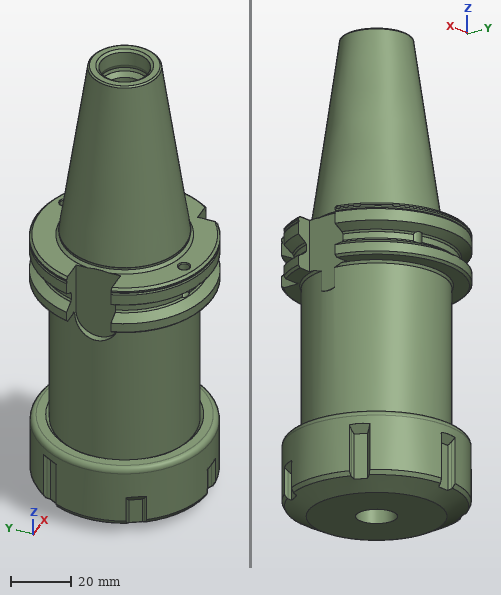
import cadquery as cq
import math

total_length = 168.4

flange_top = 99.7
shank_bottom = 101.5
gauge_height = 100.0
gauge_radius = 22.2
taper_slope = 7 / 48
shank_top_chamfer = 0.5
neck_radius = 21.9
neck_flare_radius = 22.9
neck_flare_height = 1.0

flange_diameter = 63.5
flange_radius = flange_diameter / 2
flange_bottom = 81.5
flange_edge = 0.8
rim_groove_top = 98.3
rim_groove_width = 1.0
rim_groove_depth = 0.3
groove_radius = 27.8
groove_top = 93.3
groove_bottom = 85.7
groove_flank_angle = 30
groove_corner_width = 0.5
groove_corner_height = 0.7

drive_slot_width = 16.0
drive_slot_end = 73.0
deep_slot_floor = 22.5
shallow_slot_floor = 25.0
notch_offset = 18.5

screw_hole_radius = 1.9
screw_hole_circle = 27.0
screw_hole_depth = 11.5
screw_hole_mouth = 0.3
screw_hole_tip_depth = 1.3
screw_hole_angle = 70

body_radius = 25.1
body_flare_width = 0.5
body_flare_height = 1.0

nut_radius = 31.5
nut_height = 26.5
nut_top_fillet = 2.0
nut_face_radius = 23.4
nut_face_angle = 27
nut_cone_radius = 30.6
nut_bevel_top = 5.2
nut_mouth_radius = 26.3

spanner_slot_count = 6
slot_floor_distance = 29.1
slot_wall_distance = 30.1
slot_mouth_distance = 31.8
slot_floor_width = 4.5
slot_wall_width = 5.9
slot_mouth_width = 7.4
short_slot_floor_top = 12.1
short_slot_mouth_top = 15.3
tall_slot_rise = 6.7

bore_diameter = 14.0
bore_radius = bore_diameter / 2
counterbore_radius = 8.6
counterbore_depth = 8.3
counterbore_cone_depth = 1.5
relief_width = 2.4
relief_depth = 0.3
bore_mouth_radius = 9.6
bore_mouth_depth = 0.7


def taper_radius(z):
    """Radius of the shank cone at height z."""
    return gauge_radius - (z - gauge_height) * taper_slope


def revolve_profile(points):
    return cq.Workplane("XZ").polyline(points).close().revolve(360, (0, 0, 0), (0, 1, 0))


def make_shank():
    top_radius = taper_radius(total_length)
    chamfer_start = total_length - shank_top_chamfer
    return revolve_profile([
        (0, flange_top),
        (neck_flare_radius, flange_top),
        (neck_radius, flange_top + neck_flare_height),
        (neck_radius, shank_bottom),
        (taper_radius(shank_bottom), shank_bottom),
        (taper_radius(chamfer_start), chamfer_start),
        (top_radius - shank_top_chamfer, total_length),
        (0, total_length),
    ])


def make_flange():
    corner_radius = groove_radius + groove_corner_width
    flank_rise = (flange_radius - corner_radius) * math.tan(math.radians(groove_flank_angle))
    return revolve_profile([
        (0, flange_bottom),
        (flange_radius - flange_edge, flange_bottom),
        (flange_radius, flange_bottom + flange_edge),
        (flange_radius, groove_bottom),
        (corner_radius, groove_bottom + flank_rise),
        (groove_radius, groove_bottom + flank_rise + groove_corner_height),
        (groove_radius, groove_top - flank_rise - groove_corner_height),
        (corner_radius, groove_top - flank_rise),
        (flange_radius, groove_top),
        (flange_radius, rim_groove_top - rim_groove_width),
        (flange_radius - rim_groove_depth, rim_groove_top - rim_groove_width / 2),
        (flange_radius, rim_groove_top),
        (flange_radius, flange_top - flange_edge),
        (flange_radius - flange_edge, flange_top),
        (0, flange_top),
    ])


def make_body():
    """Cylinder from inside the nut up to the flange, where it flares slightly."""
    return revolve_profile([
        (0, nut_bevel_top),
        (body_radius, nut_bevel_top),
        (body_radius, flange_bottom - body_flare_height),
        (body_radius + body_flare_width, flange_bottom),
        (0, flange_bottom),
    ])


def make_nut():
    cone_top = (nut_cone_radius - nut_face_radius) * math.tan(math.radians(nut_face_angle))
    mouth_depth = nut_mouth_radius - body_radius
    fillet_middle = nut_top_fillet * (1 - math.sqrt(0.5))
    return (
        cq.Workplane("XZ")
        .moveTo(0, 0)
        .lineTo(nut_face_radius, 0)
        .lineTo(nut_cone_radius, cone_top)
        .lineTo(nut_radius, nut_bevel_top)
        .lineTo(nut_radius, nut_height - nut_top_fillet)
        .threePointArc(
            (nut_radius - fillet_middle, nut_height - fillet_middle),
            (nut_radius - nut_top_fillet, nut_height),
        )
        .lineTo(nut_mouth_radius, nut_height)
        .lineTo(body_radius, nut_height - mouth_depth)
        .lineTo(0, nut_height - mouth_depth)
        .close()
        .revolve(360, (0, 0, 0), (0, 1, 0))
    )


def drive_slot(side, floor):
    """Round-ended cutter on the +X (side 1) or -X (side -1) face."""
    half_width = drive_slot_width / 2
    end_centre = drive_slot_end + half_width
    return (
        cq.Workplane("YZ", origin=(side * floor, 0, 0))
        .moveTo(-half_width, shank_bottom)
        .lineTo(-half_width, end_centre)
        .threePointArc((0, drive_slot_end), (half_width, end_centre))
        .lineTo(half_width, shank_bottom)
        .close()
        .extrude(side * flange_radius)
    )


def orientation_notch():
    """Square corner cut through the flange in the +X -Y quarter."""
    return (
        cq.Workplane("XY", origin=(notch_offset, -notch_offset, flange_bottom))
        .rect(flange_radius, -flange_radius, centered=False)
        .extrude(flange_top - flange_bottom)
    )


def screw_hole(angle):
    """Blind hole with a chamfered mouth and a conical tip."""
    return (
        revolve_profile([
            (0, flange_top),
            (screw_hole_radius + screw_hole_mouth, flange_top),
            (screw_hole_radius, flange_top - screw_hole_mouth),
            (screw_hole_radius, flange_top - screw_hole_depth),
            (0, flange_top - screw_hole_depth - screw_hole_tip_depth),
        ])
        .translate((screw_hole_circle, 0, 0))
        .rotate((0, 0, 0), (0, 0, 1), angle)
    )


def slot_stage(near, near_width, near_top, far, far_width, far_top):
    """Slot length between two distances from the axis, open at the nut face."""
    return (
        cq.Workplane("YZ", origin=(near, 0, 0))
        .center(0, near_top / 2)
        .rect(near_width, near_top)
        .workplane(offset=far - near)
        .center(0, (far_top - near_top) / 2)
        .rect(far_width, far_top)
        .loft(ruled=True)
    )


def spanner_slot(angle, rise):
    """Slot that widens from its floor to its mouth in two flared stages."""
    floor_top = short_slot_floor_top + rise
    mouth_top = short_slot_mouth_top + rise
    wall_share = (slot_wall_distance - slot_floor_distance) / (slot_mouth_distance - slot_floor_distance)
    wall_top = floor_top + (mouth_top - floor_top) * wall_share
    inner = slot_stage(
        slot_floor_distance, slot_floor_width, floor_top,
        slot_wall_distance, slot_wall_width, wall_top,
    )
    outer = slot_stage(
        slot_wall_distance, slot_wall_width, wall_top,
        slot_mouth_distance, slot_mouth_width, mouth_top,
    )
    return inner.union(outer).rotate((0, 0, 0), (0, 0, 1), angle)


def make_bore():
    cone_start = total_length - counterbore_depth
    return revolve_profile([
        (0, 0),
        (bore_radius, 0),
        (bore_radius, cone_start - counterbore_cone_depth),
        (counterbore_radius, cone_start),
        (counterbore_radius + relief_depth, cone_start + relief_width / 2),
        (counterbore_radius, cone_start + relief_width),
        (counterbore_radius, total_length - bore_mouth_depth),
        (bore_mouth_radius, total_length),
        (0, total_length),
    ])


holder = make_flange().union(make_shank()).union(make_body())
holder = holder.cut(drive_slot(-1, deep_slot_floor))
holder = holder.cut(drive_slot(1, shallow_slot_floor))
holder = holder.cut(orientation_notch())
for angle in (screw_hole_angle, screw_hole_angle + 180):
    holder = holder.cut(screw_hole(angle))

nut = make_nut()
slot_pitch = 360 / spanner_slot_count
for index in range(spanner_slot_count):
    rise = tall_slot_rise if index < spanner_slot_count / 2 else 0
    nut = nut.cut(spanner_slot((index + 0.5) * slot_pitch, rise))

result = holder.union(nut).cut(make_bore())